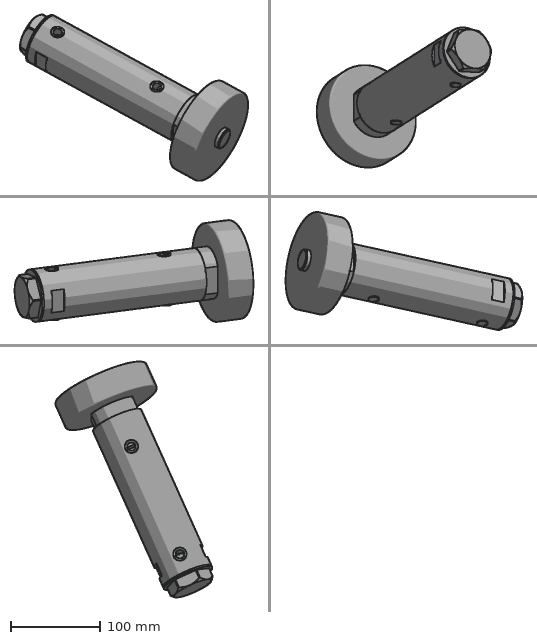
import cadquery as cq
import math


overall_length = 263.5
head_thickness = 13.0
collar_thickness = 2.0
neck_length = 15.3
flange_thickness = 31.5
stub_length = 5.8
barrel_start = head_thickness + collar_thickness
flange_end = overall_length - stub_length
flange_start = flange_end - flange_thickness
barrel_end = flange_start - neck_length

barrel_diameter = 59.5
barrel_radius = barrel_diameter / 2
slot_start = 25.0
slot_length = 15.0
slot_across_flats = 53.5

first_hole_x = 35.8
hole_spacing = 135.1
hole_x_positions = [first_hole_x, first_hole_x + hole_spacing]
hole_diameter = 9.7
spotface_diameter = 15.0
spotface_depth = 1.0

head_across_flats = 45.8
head_corner_radius = 26.0
head_face_radius = 23.0
head_tilt_degrees = 8.0
shank_radius = 18.0
shank_end = 38.5

rod_radius = 13.5
journal_radius = 27.0
journal_start = 172.3
neck_across_flats = 50.5
flange_diameter = 112.0
flange_edge_round = 2.0
stub_radius = 12.0
stub_edge_chamfer = 1.3

pin_diameter = 12.0
pin_offset = 3.2
pin_protrusion = 0.8
pin_x_positions = [x + pin_offset for x in hole_x_positions]
pin_bottom = -(barrel_radius + pin_protrusion)
pin_length = barrel_radius + pin_protrusion - journal_radius


def x_cylinder(radius, start, end):
    """Cylinder on the common axis from X = start to X = end."""
    return cq.Workplane("YZ", origin=(start, 0, 0)).circle(radius).extrude(end - start)


def flats_cutter(across_flats, start, length):
    """Two blocks that leave a pair of flats facing -Y and +Y."""
    envelope = 2 * barrel_diameter
    around = cq.Workplane("XY").box(length, envelope, envelope)
    between = cq.Workplane("XY").box(length, across_flats, envelope)
    return around.cut(between).translate((start + length / 2, 0, 0))


def make_pin(x):
    """Round pin reaching from below the barrel up to the journal surface."""
    return cq.Workplane("XY", origin=(x, 0, pin_bottom)).circle(pin_diameter / 2).extrude(pin_length)


def make_oil_hole(x):
    """Radial hole from the top down to the axis, with a flat spotface around its mouth."""
    floor_z = barrel_radius - spotface_depth
    hole = cq.Workplane("XY", origin=(x, 0, 0)).circle(hole_diameter / 2).extrude(barrel_radius)
    spotface = cq.Workplane("XY", origin=(x, 0, floor_z)).circle(spotface_diameter / 2).extrude(barrel_radius)
    return hole.union(spotface)


def make_bolt():
    """Hex head with bevelled corners, a thin collar and a plain shank."""
    bevel = head_corner_radius - head_face_radius
    hexagon = (
        cq.Workplane("YZ")
        .polygon(6, head_across_flats / math.cos(math.radians(30)))
        .extrude(head_thickness)
        .rotate((0, 0, 0), (1, 0, 0), -head_tilt_degrees)
    )
    corner_trim = x_cylinder(head_corner_radius, 0, head_thickness).faces("<X").chamfer(bevel)
    head = hexagon.intersect(corner_trim)
    collar = x_cylinder(barrel_radius, head_thickness, barrel_start)
    shank = x_cylinder(shank_radius, barrel_start, shank_end)
    return head.union(collar).union(shank)


def make_spindle():
    """Thin rod, journal, flatted neck, round-edged flange and end stub in one piece."""
    rod = x_cylinder(rod_radius, shank_end, journal_start)
    journal = x_cylinder(journal_radius, journal_start, barrel_end)
    neck = x_cylinder(barrel_radius, barrel_end, flange_start)
    neck = neck.cut(flats_cutter(neck_across_flats, barrel_end, neck_length))
    flange = x_cylinder(flange_diameter / 2, flange_start, flange_end)
    flange = flange.faces("<X or >X").edges().fillet(flange_edge_round)
    stub = x_cylinder(stub_radius, flange_end, overall_length)
    stub = stub.faces(">X").chamfer(stub_edge_chamfer)
    return rod.union(journal).union(neck).union(flange).union(stub)


def make_barrel():
    """Sleeve with wrench flats, a stepped bore and radial holes."""
    body = x_cylinder(barrel_radius, barrel_start, barrel_end)
    body = body.cut(flats_cutter(slot_across_flats, slot_start, slot_length))

    body = body.cut(x_cylinder(shank_radius, barrel_start, shank_end))
    body = body.cut(x_cylinder(rod_radius, shank_end, journal_start))
    body = body.cut(x_cylinder(journal_radius, journal_start, barrel_end))

    for x in hole_x_positions:
        body = body.cut(make_oil_hole(x))
    for x in pin_x_positions:
        body = body.cut(make_pin(x))
    return body


barrel = make_barrel()
bolt = make_bolt()
spindle = make_spindle()
pins = [make_pin(x) for x in pin_x_positions]

result = cq.Compound.makeCompound(
    [barrel.val(), bolt.val(), spindle.val(), *[pin.val() for pin in pins]]
)